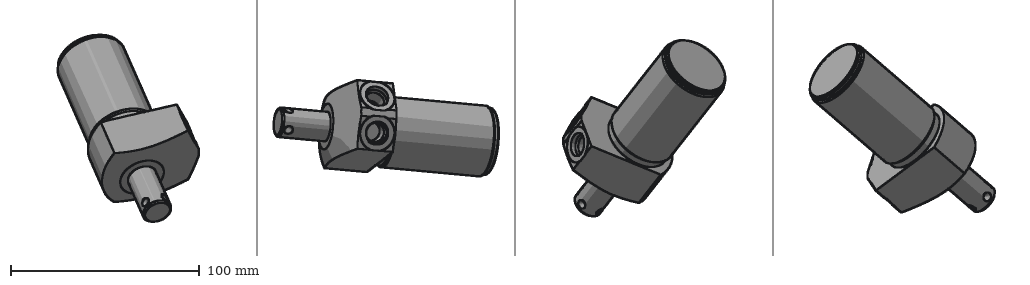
import cadquery as cq
import math

body_radius = 18.9
step_radius = 18.0
edge_chamfer = body_radius - step_radius
cap_chamfer = 0.8
cap_length = 2.5
body_end = 59.3
rod_radius = 7.9
rod_chamfer = 1.0
total_length = 118.1

head_start = 63.3
head_end = 91.2
half_height = body_radius
port_side_y = 34.3
round_side_y = -21.3
arc_corner_y = -14.0
slope_angle = 20.0
slope = math.tan(math.radians(slope_angle))
tip_half_height = 2.4
nose_radius = 12.2

port_x = 73.1
port_z = 10.3
spot_diameter = 19.1
spot_depth = 0.2
port_diameter = 12.3
port_depth = 3.2
bore_diameter = 10.2
bore_depth = 11.8
cutter_length = 5.9

dimple_radius = 2.4
dimple_x = 114.0
dimple_angles = (45, 135, 225, 315)

apex_y = port_side_y + tip_half_height * slope
slope_corner_y = apex_y - half_height * slope


def make_cylinder_and_rod():
    """Stepped, chamfered profile revolved about X."""
    profile = [
        (0, 0),
        (0, step_radius - cap_chamfer),
        (cap_chamfer, step_radius),
        (cap_length, step_radius),
        (cap_length + edge_chamfer, body_radius),
        (body_end - edge_chamfer, body_radius),
        (body_end, step_radius),
        (head_start, step_radius),
        (head_start, rod_radius),
        (total_length - rod_chamfer, rod_radius),
        (total_length, rod_radius - rod_chamfer),
        (total_length, 0),
    ]
    return cq.Workplane("XY").polyline(profile).close().revolve(360, (0, 0, 0), (1, 0, 0))


def make_head():
    """Block with a blunt wedge on +Y and an arc on -Y, trimmed by the nose cone."""
    block = (
        cq.Workplane("YZ", origin=(head_start, 0, 0))
        .moveTo(arc_corner_y, half_height)
        .lineTo(slope_corner_y, half_height)
        .lineTo(port_side_y, tip_half_height)
        .lineTo(port_side_y, -tip_half_height)
        .lineTo(slope_corner_y, -half_height)
        .lineTo(arc_corner_y, -half_height)
        .threePointArc((round_side_y, 0), (arc_corner_y, half_height))
        .close()
        .extrude(head_end - head_start)
    )
    cone_radius = nose_radius + (head_end - head_start) / slope
    cone = (
        cq.Workplane("XY")
        .polyline([(head_start, 0), (head_start, cone_radius), (head_end, nose_radius), (head_end, 0)])
        .close()
        .revolve(360, (0, 0, 0), (1, 0, 0))
    )
    return block.intersect(cone)


def make_port_cutter(side):
    """Spotface, port and bore joined by a 45-degree cone; side +1 is the upper face, -1 the lower."""
    angle = math.radians(slope_angle)
    outward = cq.Vector(0, math.cos(angle), side * math.sin(angle))
    center = cq.Vector(port_x, apex_y - port_z * slope, side * port_z)
    start = center + outward * cutter_length

    def drill(diameter, depth):
        return cq.Solid.makeCylinder(diameter / 2, depth + cutter_length, start, outward * -1)

    spotface = cq.Workplane(drill(spot_diameter, spot_depth))
    port = drill(port_diameter, port_depth)
    bore = drill(bore_diameter, bore_depth)
    cone_height = (port_diameter - bore_diameter) / 2
    cone_start = center - outward * port_depth
    cone = cq.Solid.makeCone(port_diameter / 2, bore_diameter / 2, cone_height, cone_start, outward * -1)
    return spotface.union(port).union(cone).union(bore)


def make_dimple_cutter(angle):
    """Radial cone with a straight shank beyond the rod surface, turned about X by the angle."""
    rim_z = math.sqrt(rod_radius**2 - dimple_radius**2)
    profile = [
        (0, rim_z - dimple_radius),
        (dimple_radius, rim_z),
        (dimple_radius, rod_radius + cutter_length),
        (0, rod_radius + cutter_length),
    ]
    cutter = (
        cq.Workplane("XZ", origin=(dimple_x, 0, 0))
        .polyline(profile)
        .close()
        .revolve(360, (0, 0, 0), (0, 1, 0))
    )
    return cutter.rotate((0, 0, 0), (1, 0, 0), angle)


result = make_cylinder_and_rod().union(make_head())
for side in (1, -1):
    result = result.cut(make_port_cutter(side))
for angle in dimple_angles:
    result = result.cut(make_dimple_cutter(angle))